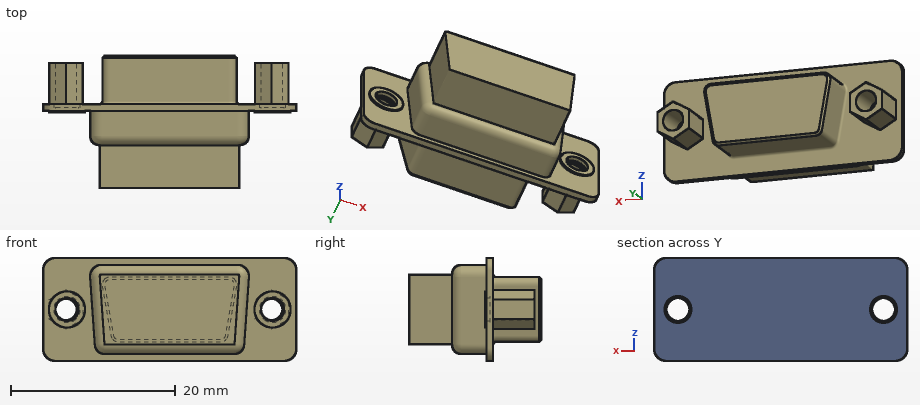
import cadquery as cq
import math


FLANGE_WIDTH = 30.81
FLANGE_HEIGHT = 12.55
FLANGE_THICKNESS = 0.83
FLANGE_CORNER_RADIUS = 1.5

SHELL_X = -0.03

HOOD_WIDTH = 19.32
HOOD_HEIGHT = 10.85
HOOD_DEPTH = 4.18
HOOD_SIDE_ANGLE = 4.0
HOOD_TOP_RADIUS = 1.4
HOOD_BOTTOM_RADIUS = 1.2
HOOD_FRONT_FILLET = 1.12

INSULATOR_MARGIN = 1.18
INSULATOR_FRONT_Y = -9.4

PLUG_WIDTH = 16.35
PLUG_HEIGHT = 7.9
PLUG_BACK_Y = 6.7
PLUG_SIDE_ANGLE = 10.0
PLUG_TOP_RADIUS = 0.95
PLUG_BOTTOM_RADIUS = 0.87
PLUG_EDGE_CHAMFER = 0.3
PLUG_ROOT_FILLET = 0.3
SELECTION_MARGIN = 0.1

STANDOFF_PITCH = 24.99
STANDOFF_LENGTH = 5.0
STANDOFF_FLATS = 4.1
STANDOFF_X = -0.11
STANDOFF_BORE = 2.6
COLLAR_DIAMETER = 4.4
COLLAR_HEIGHT = 0.17
COLLAR_BORE = 2.78
COLLAR_LIP_Y = FLANGE_THICKNESS / 2
GROOVE_DIAMETER = 3.2


def xz_plane(y):
    """Plane facing -Y at the given Y, with +X to the right and +Z up."""
    return cq.Workplane("XZ", origin=(0, y, 0))


def d_outline(plane, width, height, side_angle, top_radius, bottom_radius):
    """Draw a rounded trapezoid, widest near its top; width is measured over the rounded corners."""
    slope = math.radians(side_angle)
    top = height / 2
    top_x = width / 2 - top_radius
    top_z = top - top_radius
    bottom_z = bottom_radius - top
    side_offset = (top_radius - bottom_radius) / math.cos(slope)
    bottom_x = top_x + side_offset - (top_z - bottom_z) * math.tan(slope)

    def on_arc(center_x, center_z, radius, angle):
        return (center_x + radius * math.cos(angle), center_z + radius * math.sin(angle))

    side_normal = -slope
    upper_mid = on_arc(top_x, top_z, top_radius, (side_normal + math.pi / 2) / 2)
    upper_end = on_arc(top_x, top_z, top_radius, side_normal)
    lower_start = on_arc(bottom_x, bottom_z, bottom_radius, side_normal)
    lower_mid = on_arc(bottom_x, bottom_z, bottom_radius, (side_normal - math.pi / 2) / 2)

    def mirrored(point):
        return (-point[0], point[1])

    return (
        plane.center(SHELL_X, 0)
        .moveTo(-top_x, top)
        .lineTo(top_x, top)
        .threePointArc(upper_mid, upper_end)
        .lineTo(*lower_start)
        .threePointArc(lower_mid, (bottom_x, -top))
        .lineTo(-bottom_x, -top)
        .threePointArc(mirrored(lower_mid), mirrored(lower_start))
        .lineTo(*mirrored(upper_end))
        .threePointArc(mirrored(upper_mid), (-top_x, top))
        .close()
    )


def make_flange():
    plate = xz_plane(0).rect(FLANGE_WIDTH, FLANGE_HEIGHT).extrude(-FLANGE_THICKNESS)
    return plate.edges("|Y").fillet(FLANGE_CORNER_RADIUS)


def make_hood():
    outline = d_outline(
        xz_plane(0), HOOD_WIDTH, HOOD_HEIGHT, HOOD_SIDE_ANGLE, HOOD_TOP_RADIUS, HOOD_BOTTOM_RADIUS
    )
    return outline.extrude(HOOD_DEPTH).faces("<Y").edges().fillet(HOOD_FRONT_FILLET)


def make_plug():
    outline = d_outline(
        xz_plane(FLANGE_THICKNESS),
        PLUG_WIDTH, PLUG_HEIGHT, PLUG_SIDE_ANGLE, PLUG_TOP_RADIUS, PLUG_BOTTOM_RADIUS,
    )
    plug = outline.extrude(FLANGE_THICKNESS - PLUG_BACK_Y)
    return plug.faces(">Y").edges().chamfer(PLUG_EDGE_CHAMFER)


def make_shell():
    """Flange, hood, plug and both standoffs as one metal body."""
    flange_and_plug = make_flange().union(make_plug())
    reach_x = PLUG_WIDTH / 2 + SELECTION_MARGIN
    reach_z = PLUG_HEIGHT / 2 + SELECTION_MARGIN
    plug_root = cq.selectors.BoxSelector(
        (-reach_x, FLANGE_THICKNESS - SELECTION_MARGIN, -reach_z),
        (reach_x, FLANGE_THICKNESS + SELECTION_MARGIN, reach_z),
    )
    shell = flange_and_plug.edges(plug_root).fillet(PLUG_ROOT_FILLET).union(make_hood())
    for side in (-1, 1):
        shell = add_standoff(shell, side * STANDOFF_PITCH / 2)
    return shell


def add_standoff(shell, hole_x):
    """Add one hexagonal standoff behind the flange, its collar in front and the grooved, stepped bore."""
    standoff_x = hole_x + STANDOFF_X
    across_corners = STANDOFF_FLATS / math.cos(math.pi / 6)
    standoff = (
        xz_plane(FLANGE_THICKNESS)
        .center(standoff_x, 0)
        .transformed(rotate=(0, 0, 90))
        .polygon(6, across_corners)
        .extrude(-STANDOFF_LENGTH)
    )
    collar = xz_plane(0).center(hole_x, 0).circle(COLLAR_DIAMETER / 2).extrude(COLLAR_HEIGHT)
    collar_bore = (
        xz_plane(-COLLAR_HEIGHT)
        .center(hole_x, 0)
        .circle(COLLAR_BORE / 2)
        .extrude(-COLLAR_HEIGHT - COLLAR_LIP_Y)
    )
    groove = (
        xz_plane(COLLAR_LIP_Y)
        .center(hole_x, 0)
        .circle(GROOVE_DIAMETER / 2)
        .extrude(COLLAR_LIP_Y - FLANGE_THICKNESS)
    )
    standoff_bore = (
        xz_plane(0)
        .center(standoff_x, 0)
        .circle(STANDOFF_BORE / 2)
        .extrude(-FLANGE_THICKNESS - STANDOFF_LENGTH)
    )
    return shell.union(standoff).union(collar).cut(collar_bore).cut(groove).cut(standoff_bore)


def make_insulator():
    """Block standing on the hood's front face; its bottom corners are almost sharp."""
    outline = d_outline(
        xz_plane(-HOOD_DEPTH),
        HOOD_WIDTH - 2 * INSULATOR_MARGIN,
        HOOD_HEIGHT - 2 * INSULATOR_MARGIN,
        HOOD_SIDE_ANGLE,
        HOOD_TOP_RADIUS - INSULATOR_MARGIN,
        HOOD_BOTTOM_RADIUS - INSULATOR_MARGIN,
    )
    return outline.extrude(-HOOD_DEPTH - INSULATOR_FRONT_Y)


shell = make_shell()
insulator = make_insulator()

result = cq.Compound.makeCompound([shell.val(), insulator.val()])